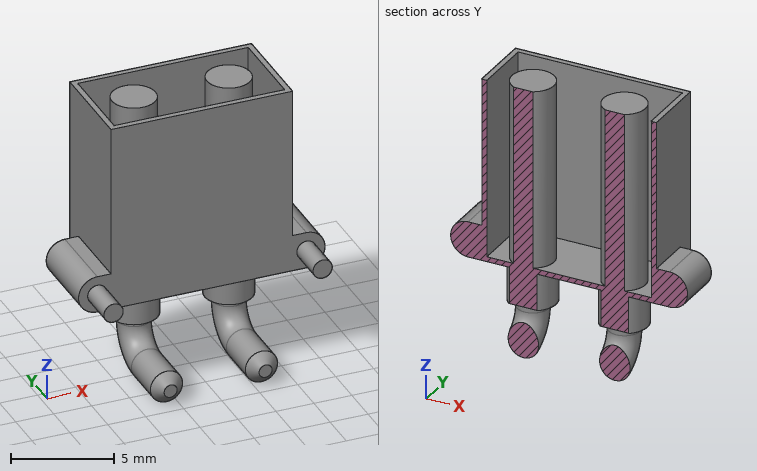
import cadquery as cq
import math


housing_width = 9.56
housing_depth = 5.09
housing_height = 10.0
wall = 0.3
front_y = -housing_depth / 2

lug_spacing = 11.0
lug_diameter = 1.96
lug_length = 4.0
peg_diameter = 1.01
peg_length = 2.01
front_reach = housing_depth / 2 + peg_length

contact_pitch = 5.0
pin_diameter = 2.29
collar_diameter = 2.53
collar_height = 2.0
tail_diameter = 1.7
tail_drop = 0.34
bend_radius = 1.7
tip_chamfer = 0.5


def make_housing():
    """Rectangular box, hollowed from the top with equal walls and floor."""
    box = cq.Workplane("XY").box(
        housing_width, housing_depth, housing_height, centered=(True, True, False)
    )
    return box.faces(">Z").shell(-wall)


def make_lug(side):
    """Round-ended ear flush with the housing's front and underside, plus its peg."""
    lug_x = side * lug_spacing / 2
    lug_radius = lug_diameter / 2
    housing_side_x = side * (housing_width / 2 - wall)
    plane = cq.Workplane("XZ", origin=(0, front_y, 0))
    ear = (
        plane.moveTo(housing_side_x, 0)
        .lineTo(lug_x, 0)
        .threePointArc((lug_x + side * lug_radius, lug_radius), (lug_x, lug_diameter))
        .lineTo(housing_side_x, lug_diameter)
        .close()
        .extrude(-lug_length)
    )
    peg = plane.center(lug_x, lug_radius).circle(peg_diameter / 2).extrude(peg_length)
    return ear.union(peg)


def make_contact(x):
    """Pin level with the housing rim, collar below it and a tail bent towards the front."""
    underside = cq.Workplane("XY", origin=(x, 0, 0))
    pin = underside.circle(pin_diameter / 2).extrude(housing_height)
    collar = underside.circle(collar_diameter / 2).extrude(-collar_height)
    bend_start_z = -collar_height - tail_drop
    tail_axis_z = bend_start_z - bend_radius
    bend_mid = bend_radius * math.sqrt(0.5)
    tail_path = (
        cq.Workplane("YZ", origin=(x, 0, 0))
        .moveTo(0, -collar_height)
        .lineTo(0, bend_start_z)
        .threePointArc(
            (bend_mid - bend_radius, bend_start_z - bend_mid),
            (-bend_radius, tail_axis_z),
        )
        .lineTo(-front_reach, tail_axis_z)
    )
    tail = (
        underside.workplane(offset=-collar_height)
        .circle(tail_diameter / 2)
        .sweep(tail_path)
        .faces("<Y")
        .chamfer(tip_chamfer)
    )
    return pin.union(collar).union(tail)


result = make_housing()
for side in (-1, 1):
    result = result.union(make_lug(side))
    result = result.union(make_contact(side * contact_pitch / 2))